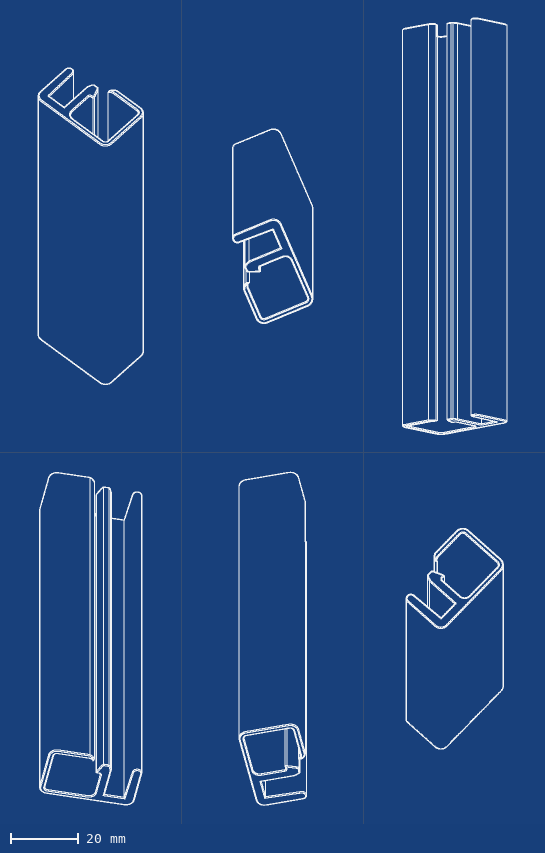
import cadquery as cq
import math

width = 28.5
depth = 18.0
length = 120.0
corner_radius = 2.5
end_chamfer = 0.3

wall = 1.5
inner_radius = corner_radius - wall
root_radius = 2.0
right_center = width - corner_radius
top_center = depth - corner_radius

leg_top = 15.0
floor_thickness = 3.0

outer_leg_root = 3.15
outer_leg_tip = 2.8
outer_leg_tip_radius = outer_leg_tip / 2
outer_leg_shoulder = leg_top - outer_leg_tip_radius

hook_leg_left = 9.1
hook_leg_right = 11.9
hook_bevel_start = 13.15
hook_bevel_top_x = 9.7
hook_bevel_top_y = 14.6
hook_crown_left = 10.1
hook_crown_right = 11.8
hook_flank_top_x = 12.2
hook_flank_top_y = 14.5
hook_nose_x = 13.3
hook_nose_top = 11.7
hook_nose_bottom = 11.15
hook_under_radius = 0.5

lip_outer_start = 16.5
lip_face_x = 14.85
lip_face_y = 16.5
lip_outer_radius = 3.5
lip_tip_x = 15.1
lip_tip_y = 15.6
lip_inner_start = 16.4


def arc_to(path, center_x, center_y, radius, start, end):
    """Continue the path along a circle between two angles in degrees."""
    points = []
    for angle in ((start + end) / 2, end):
        turn = math.radians(angle)
        points.append((center_x + radius * math.cos(turn), center_y + radius * math.sin(turn)))
    return path.threePointArc(*points)


def outer_wall(path):
    """Bottom, right side and top of the outline, ending where the lip begins."""
    path = path.lineTo(right_center, 0)
    path = arc_to(path, right_center, corner_radius, corner_radius, -90, 0)
    path = path.lineTo(width, top_center)
    path = arc_to(path, right_center, top_center, corner_radius, 0, 90)
    return path.lineTo(lip_outer_start, depth)


def lip(path):
    """Bent lip that tapers towards its narrow end face."""
    path = path.radiusArc((lip_face_x, lip_face_y), -lip_outer_radius)
    path = path.lineTo(lip_tip_x, lip_tip_y)
    run = lip_inner_start - lip_tip_x
    rise = depth - wall - lip_tip_y
    bend_radius = (run**2 + rise**2) / (2 * rise)
    bend_center_y = depth - wall - bend_radius
    tip_angle = 90 + math.degrees(math.asin(run / bend_radius))
    return arc_to(path, lip_inner_start, bend_center_y, bend_radius, tip_angle, 90)


def box_inside(path):
    """Inside faces of the box section, ending on the hooked leg."""
    root_center_x = hook_leg_right + root_radius
    path = path.lineTo(right_center, depth - wall)
    path = arc_to(path, right_center, top_center, inner_radius, 90, 0)
    path = path.lineTo(width - wall, corner_radius)
    path = arc_to(path, right_center, corner_radius, inner_radius, 0, -90)
    path = path.lineTo(root_center_x, wall)
    return arc_to(path, root_center_x, wall + root_radius, root_radius, 270, 180)


def hooked_leg(path):
    """Right side, hook, crown and left side of the hooked leg."""
    under_center_x = hook_leg_right + hook_under_radius
    under_center_y = hook_nose_bottom - hook_under_radius
    path = path.lineTo(hook_leg_right, under_center_y)
    path = arc_to(path, under_center_x, under_center_y, hook_under_radius, 180, 90)
    path = path.lineTo(hook_nose_x, hook_nose_bottom)
    path = path.lineTo(hook_nose_x, hook_nose_top)
    path = path.lineTo(hook_flank_top_x, hook_flank_top_y)
    path = path.lineTo(hook_crown_right, leg_top)
    path = path.lineTo(hook_crown_left, leg_top)
    path = path.lineTo(hook_bevel_top_x, hook_bevel_top_y)
    path = path.lineTo(hook_leg_left, hook_bevel_start)
    return path.lineTo(hook_leg_left, floor_thickness)


def outer_leg(path):
    """Channel floor, tapered outer leg and the rounded corner below it."""
    path = path.lineTo(outer_leg_root, floor_thickness)
    path = path.lineTo(outer_leg_tip, outer_leg_shoulder)
    path = arc_to(path, outer_leg_tip_radius, outer_leg_shoulder, outer_leg_tip_radius, 0, 180)
    path = path.lineTo(0, corner_radius)
    return arc_to(path, corner_radius, corner_radius, corner_radius, 180, 270)


outline = cq.Workplane("XY").moveTo(corner_radius, 0)
for section in (outer_wall, lip, box_inside, hooked_leg, outer_leg):
    outline = section(outline)
profile = outline.close().extrude(length)

result = profile.faces("<Z or >Z").edges().chamfer(end_chamfer)